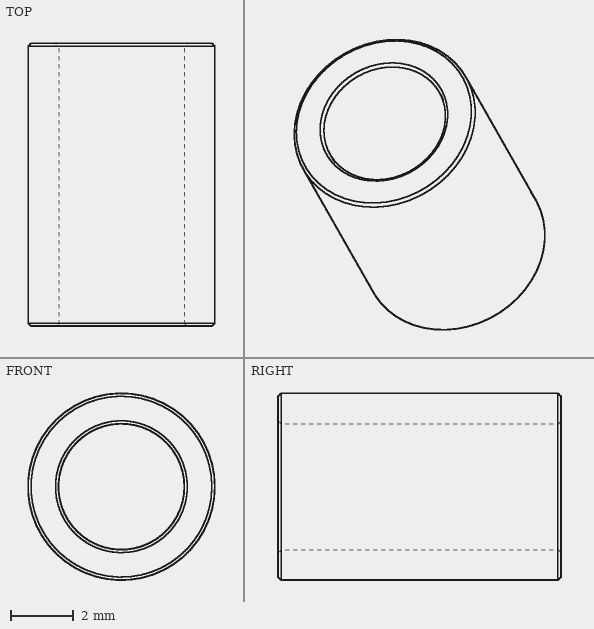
import cadquery as cq

length = 9.0
outer_diameter = 5.95
bore_diameter = 4.0
edge_chamfer = 0.1

sleeve = (
    cq.Workplane("XZ", origin=(0, length / 2, 0))
    .circle(outer_diameter / 2)
    .circle(bore_diameter / 2)
    .extrude(length)
)

result = sleeve.faces("<Y or >Y").edges().chamfer(edge_chamfer)